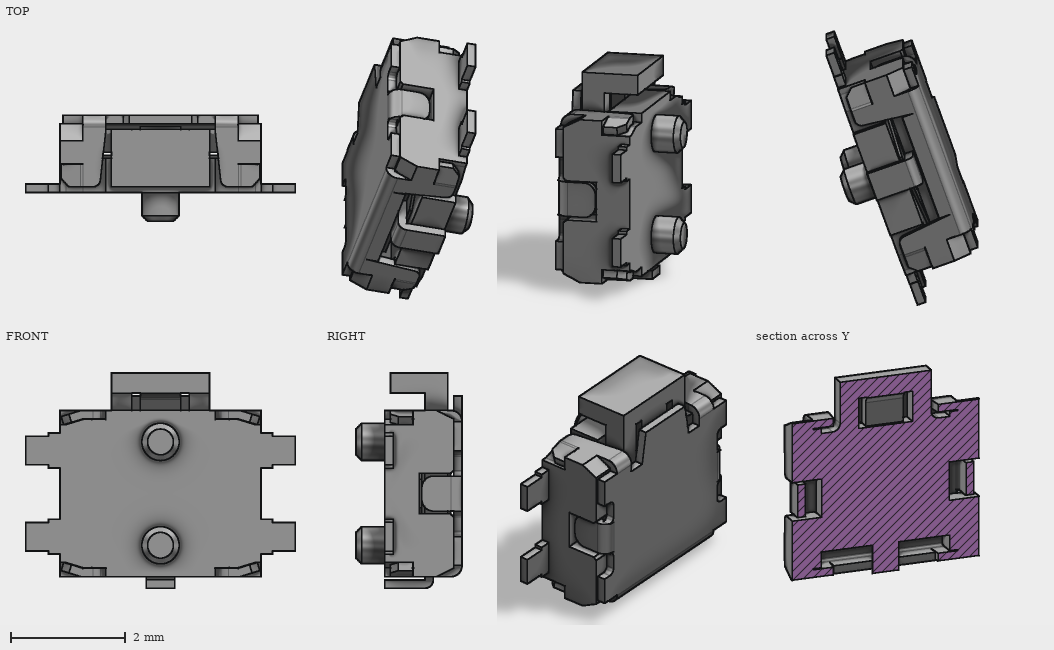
import cadquery as cq
import math


HALF_WIDTH = 1.75
HALF_HEIGHT = 1.45
HOUSING_BACK = 1.2
SHEET = 0.15
CAVITY_FLOOR = 0.6
CAVITY_HALF_WIDTH = 1.2
CORNER_CHAMFER_DEPTH = 0.3
CORNER_CHAMFER_DROP = 0.15
WINDOW_HALF_HEIGHT = 0.35
WINDOW_CHAMFER = 0.05

COVER_BACK = HOUSING_BACK + SHEET
COVER_HALF_WIDTH = 1.7
BEND_RADIUS = 0.2
INNER_BEND_RADIUS = BEND_RADIUS - SHEET
BEND_START = HALF_HEIGHT - BEND_RADIUS
BEND_ROOT = BEND_START - BEND_RADIUS
EAR_BOTTOM = 0.75
WAIST_HALF_WIDTH = 1.45
EDGE_FILLET = 0.1
KEEPER_BASE_HALF_WIDTH = 0.65
KEEPER_TOP_HALF_WIDTH = 0.545
KEEPER_TOP = 1.7
KEEPER_ROOT = 1.1
FLANGE_FRONT = 0.9

LEG_INNER = 0.95
LEG_OUTER = 1.35
LEG_TIP_INNER = 1.06
LEG_FRONT = 0.1
LEG_TIP_ROUND = 0.13
FOOT_BACK = 0.49
FOOT_END = COVER_HALF_WIDTH
FOOT_CHAMFER = 0.14
FOOT_ANGLE = 17
POCKET_FLOOR = 1.29
POCKET_BACK = 0.5
POCKET_SLOPE_END = 1.65

TAB_HALF_HEIGHT = 0.305
TAB_OUTER = 1.65
TAB_FRONT = 0.65
TAB_ROUND = 0.2

CONTACT_HALF_SIZE = CAVITY_HALF_WIDTH
CONTACT_HALF_FLAT = 0.25
CONTACT_BACK = 0.65

CAP_HALF_WIDTH = 0.855
CAP_TOP = 2.1
CAP_UNDERSIDE = 1.75
CAP_FRONT = 0.1
ARM_FRONT = 0.7
ACTUATOR_BACK = 1.1
ARM_INNER = 0.5
STEM_HALF_WIDTH = 0.35
STEM_FRONT = 0.9
STEM_FILLET = 0.11
SLIDER_TOP = 1.2
SLIDER_BOTTOM = -1.0
SHOULDER_FILLET = 0.14
PLUNGER_HALF_SIZE = 0.5
RIB_BACK = 1.15

TAIL_HALF_WIDTH = 0.25
TAIL_BOTTOM = -1.65
TAIL_BACK = ARM_FRONT + SHEET

TERMINAL_Z = 0.75
TERMINAL_TIP_X = 2.35
TERMINAL_STEP_X = 1.95
TERMINAL_TIP_HEIGHT = 0.5
TERMINAL_ROOT_HEIGHT = 0.61

PEG_RADIUS = 0.325
PEG_LENGTH = 0.5
PEG_CHAMFER = 0.1
PEG_Z = 0.9


def block(x, y, z):
    """Box from its (low, high) limits along each axis."""
    size = [high - low for low, high in (x, y, z)]
    return cq.Workplane("XY").box(*size, centered=False).translate((x[0], y[0], z[0]))


def along_x(points, half_width):
    """Closed (y, z) outline swept symmetrically about x = 0."""
    return cq.Workplane("YZ").polyline(points).close().extrude(half_width, both=True)


def along_y(points, front, back):
    """Closed (x, z) outline swept from y = front to y = back."""
    outline = cq.Workplane("XZ", origin=(0, front, 0)).polyline(points).close()
    return outline.extrude(front - back)


def with_mirrors(shape, planes):
    for plane in planes:
        shape = shape.union(shape.mirror(plane))
    return shape


def four_corners(shape):
    return with_mirrors(shape, ("YZ", "XY"))


def leg_pocket():
    """Recess in the +X +Z corner of the housing that takes one clamping leg."""
    slope_drop = (POCKET_SLOPE_END - LEG_OUTER) * math.tan(math.radians(FOOT_ANGLE))
    slope_end_z = POCKET_FLOOR - slope_drop
    leg_recess = block((LEG_INNER, LEG_OUTER), (0, HOUSING_BACK), (POCKET_FLOOR, HALF_HEIGHT))
    foot_recess = along_y(
        [
            (LEG_INNER, HALF_HEIGHT),
            (LEG_INNER, POCKET_FLOOR),
            (LEG_OUTER, POCKET_FLOOR),
            (POCKET_SLOPE_END, slope_end_z),
            (HALF_WIDTH, slope_end_z),
            (HALF_WIDTH, HALF_HEIGHT),
        ],
        0,
        POCKET_BACK,
    )
    return leg_recess.union(foot_recess)


def corner_wedge():
    """Sloped cut at the back of the +X +Z housing corner, outside the leg."""
    wedge = along_x(
        [
            (HOUSING_BACK - CORNER_CHAMFER_DEPTH, HALF_HEIGHT),
            (HOUSING_BACK, HALF_HEIGHT - CORNER_CHAMFER_DROP),
            (HOUSING_BACK, HALF_HEIGHT),
        ],
        HALF_WIDTH,
    )
    outside_leg = block((LEG_OUTER, HALF_WIDTH), (0, HOUSING_BACK), (0, HALF_HEIGHT))
    return wedge.intersect(outside_leg)


def side_windows():
    mouth = WINDOW_HALF_HEIGHT + WINDOW_CHAMFER
    return along_x(
        [
            (CAVITY_FLOOR, -WINDOW_HALF_HEIGHT),
            (HOUSING_BACK - WINDOW_CHAMFER, -WINDOW_HALF_HEIGHT),
            (HOUSING_BACK, -mouth),
            (HOUSING_BACK, mouth),
            (HOUSING_BACK - WINDOW_CHAMFER, WINDOW_HALF_HEIGHT),
            (CAVITY_FLOOR, WINDOW_HALF_HEIGHT),
        ],
        HALF_WIDTH,
    )


def housing():
    full_height = (-HALF_HEIGHT, HALF_HEIGHT)
    body = block((-HALF_WIDTH, HALF_WIDTH), (0, HOUSING_BACK), full_height)
    cavity = block(
        (-CAVITY_HALF_WIDTH, CAVITY_HALF_WIDTH), (CAVITY_FLOOR, HOUSING_BACK), full_height
    )
    body = body.cut(cavity).cut(side_windows())
    return body.cut(four_corners(leg_pocket())).cut(four_corners(corner_wedge()))


def folded_strip(plane, flat_start, corner, fold_end):
    """Sheet outline in plane coordinates (u, v), folded once.

    It runs along v = corner v from flat_start, turns at the corner and runs down to v = fold_end.
    """
    u, v = corner
    u_center = u - BEND_RADIUS
    v_center = v - BEND_RADIUS
    outer_mid = BEND_RADIUS * math.sqrt(0.5)
    inner_mid = INNER_BEND_RADIUS * math.sqrt(0.5)
    return (
        cq.Workplane(plane)
        .moveTo(flat_start, v)
        .lineTo(u_center, v)
        .threePointArc((u_center + outer_mid, v_center + outer_mid), (u, v_center))
        .lineTo(u, fold_end)
        .lineTo(u - SHEET, fold_end)
        .lineTo(u - SHEET, v_center)
        .threePointArc((u_center + inner_mid, v_center + inner_mid), (u_center, v - SHEET))
        .lineTo(flat_start, v - SHEET)
        .close()
    )


def cover_bend(x_from, x_to, front):
    """Top edge of the cover folded forward over the housing, ending at y = front."""
    plane = cq.Plane.named("YZ", origin=(x_from, 0, 0))
    outline = folded_strip(plane, front, (COVER_BACK, HALF_HEIGHT), BEND_ROOT)
    return outline.extrude(x_to - x_from)


def leg_foot():
    """Foot of the +X +Z leg, cut flat and then bent about the inner edge of the leg."""
    leg_underside = HALF_HEIGHT - SHEET
    flat = block((LEG_OUTER, FOOT_END), (LEG_FRONT, FOOT_BACK), (leg_underside, HALF_HEIGHT))
    flat = flat.edges(">X and <Y").chamfer(FOOT_CHAMFER)
    foot = flat.rotate((LEG_OUTER, 0, leg_underside), (LEG_OUTER, 1, leg_underside), FOOT_ANGLE)
    angle = math.radians(FOOT_ANGLE)
    bend_fill = along_y(
        [
            (LEG_OUTER, leg_underside),
            (LEG_OUTER, HALF_HEIGHT),
            (LEG_OUTER + SHEET * math.sin(angle), leg_underside + SHEET * math.cos(angle)),
        ],
        LEG_FRONT,
        FOOT_BACK,
    )
    return foot.union(bend_fill)


def clamping_leg():
    """Leg at the +X +Z corner with its foot bent toward the housing."""
    root = cover_bend(LEG_INNER, LEG_OUTER, ACTUATOR_BACK)
    leg = (
        cq.Workplane("XY", origin=(0, 0, HALF_HEIGHT - SHEET))
        .polyline(
            [
                (LEG_INNER, ACTUATOR_BACK),
                (LEG_TIP_INNER, LEG_FRONT),
                (LEG_OUTER, LEG_FRONT),
                (LEG_OUTER, ACTUATOR_BACK),
            ]
        )
        .close()
        .extrude(SHEET)
    )
    tip = cq.selectors.NearestToPointSelector((LEG_TIP_INNER, LEG_FRONT, HALF_HEIGHT - SHEET / 2))
    return root.union(leg.edges(tip).fillet(LEG_TIP_ROUND)).union(leg_foot())


def side_tab():
    """Tab on the +X side, folded forward into the housing window."""
    outline = folded_strip("XY", LEG_OUTER, (TAB_OUTER, COVER_BACK), TAB_FRONT)
    tab = outline.extrude(TAB_HALF_HEIGHT, both=True)
    return tab.edges("<Y and (>Z or <Z)").fillet(TAB_ROUND)


def waist_fillet(edge_z, side):
    """Inside fillet where the +X waist meets an edge at z = edge_z; side is +1 above it, -1 below."""
    outer_x = WAIST_HALF_WIDTH + EDGE_FILLET
    outer_z = edge_z + side * EDGE_FILLET
    mid = EDGE_FILLET * (1 - math.sqrt(0.5))
    return (
        cq.Workplane("XZ", origin=(0, HOUSING_BACK, 0))
        .moveTo(WAIST_HALF_WIDTH, edge_z)
        .lineTo(outer_x, edge_z)
        .threePointArc((WAIST_HALF_WIDTH + mid, edge_z + side * mid), (WAIST_HALF_WIDTH, outer_z))
        .close()
        .extrude(-SHEET)
    )


def cover_plate():
    plate_y = (HOUSING_BACK, COVER_BACK)
    plate = block((-WAIST_HALF_WIDTH, WAIST_HALF_WIDTH), plate_y, (-KEEPER_ROOT, KEEPER_ROOT))
    ear = block((LEG_OUTER, COVER_HALF_WIDTH), plate_y, (EAR_BOTTOM, BEND_START))
    corner = ear
    for edge_z, side in ((EAR_BOTTOM, -1), (TAB_HALF_HEIGHT, 1)):
        corner = corner.union(waist_fillet(edge_z, side))
    keeper = along_y(
        [
            (-KEEPER_BASE_HALF_WIDTH, KEEPER_ROOT),
            (KEEPER_BASE_HALF_WIDTH, KEEPER_ROOT),
            (KEEPER_TOP_HALF_WIDTH, KEEPER_TOP),
            (-KEEPER_TOP_HALF_WIDTH, KEEPER_TOP),
        ],
        *plate_y,
    )
    return plate.union(four_corners(corner)).union(keeper)


def cover():
    lower_flange = cover_bend(-LEG_INNER, LEG_INNER, FLANGE_FRONT).mirror("XY")
    tabs = with_mirrors(side_tab(), ("YZ",))
    return cover_plate().union(four_corners(clamping_leg())).union(lower_flange).union(tabs)


def contact_plate():
    """Octagonal contact lying on the cavity floor."""
    a, b = CONTACT_HALF_SIZE, CONTACT_HALF_FLAT
    corners = [(a, -b), (a, b), (b, a), (-b, a), (-a, b), (-a, -b), (-b, -a), (b, -a)]
    return along_y(corners, CAVITY_FLOOR, CONTACT_BACK)


def actuator():
    cap = block(
        (-CAP_HALF_WIDTH, CAP_HALF_WIDTH), (CAP_FRONT, ACTUATOR_BACK), (CAP_UNDERSIDE, CAP_TOP)
    )
    stem = block(
        (-STEM_HALF_WIDTH, STEM_HALF_WIDTH),
        (STEM_FRONT, ACTUATOR_BACK),
        (SLIDER_TOP, CAP_UNDERSIDE),
    )
    head = cap.union(stem)
    stem_root = cq.selectors.NearestToPointSelector((0, STEM_FRONT, CAP_UNDERSIDE))
    head = head.edges(stem_root).fillet(STEM_FILLET)
    for x_from, x_to in ((-CAP_HALF_WIDTH, -ARM_INNER), (ARM_INNER, CAP_HALF_WIDTH)):
        arm = block((x_from, x_to), (ARM_FRONT, ACTUATOR_BACK), (SLIDER_TOP, CAP_UNDERSIDE))
        head = head.union(arm)

    slider = block(
        (-CAVITY_HALF_WIDTH, CAVITY_HALF_WIDTH),
        (ARM_FRONT, ACTUATOR_BACK),
        (SLIDER_BOTTOM, SLIDER_TOP),
    )
    body = head.union(slider)
    for side in (-1, 1):
        shoulder = cq.selectors.NearestToPointSelector(
            (side * CAP_HALF_WIDTH, (ARM_FRONT + ACTUATOR_BACK) / 2, SLIDER_TOP)
        )
        body = body.edges(shoulder).fillet(SHOULDER_FILLET)

    plunger_span = (-PLUNGER_HALF_SIZE, PLUNGER_HALF_SIZE)
    plunger = block(plunger_span, (CONTACT_BACK, ARM_FRONT), plunger_span)
    rib = block(
        (-STEM_HALF_WIDTH, STEM_HALF_WIDTH), (ACTUATOR_BACK, RIB_BACK), (SLIDER_BOTTOM, SLIDER_TOP)
    )
    return body.union(plunger).union(rib)


def ground_tail():
    """Strip leaving the cavity downward and folded forward to the mounting face."""
    span = (-TAIL_HALF_WIDTH, TAIL_HALF_WIDTH)
    outer = block(span, (0, TAIL_BACK), (TAIL_BOTTOM, SLIDER_BOTTOM))
    outer = outer.edges(">Y and <Z").fillet(SHEET)
    return outer.cut(block(span, (0, ARM_FRONT), (TAIL_BOTTOM + SHEET, SLIDER_BOTTOM)))


def terminals():
    pairs = cq.Workplane("XY")
    for z in (-TERMINAL_Z, TERMINAL_Z):
        for reach, height in (
            (TERMINAL_TIP_X, TERMINAL_TIP_HEIGHT),
            (TERMINAL_STEP_X, TERMINAL_ROOT_HEIGHT),
        ):
            strip = block((-reach, reach), (0, SHEET), (z - height / 2, z + height / 2))
            pairs = pairs.union(strip)
    return pairs


def locating_pegs():
    pegs = cq.Workplane("XZ").pushPoints([(0, PEG_Z), (0, -PEG_Z)])
    return pegs.circle(PEG_RADIUS).extrude(PEG_LENGTH).faces("<Y").chamfer(PEG_CHAMFER)


result = (
    housing()
    .union(cover())
    .union(contact_plate())
    .union(actuator())
    .union(ground_tail())
    .union(terminals())
    .union(locating_pegs())
)